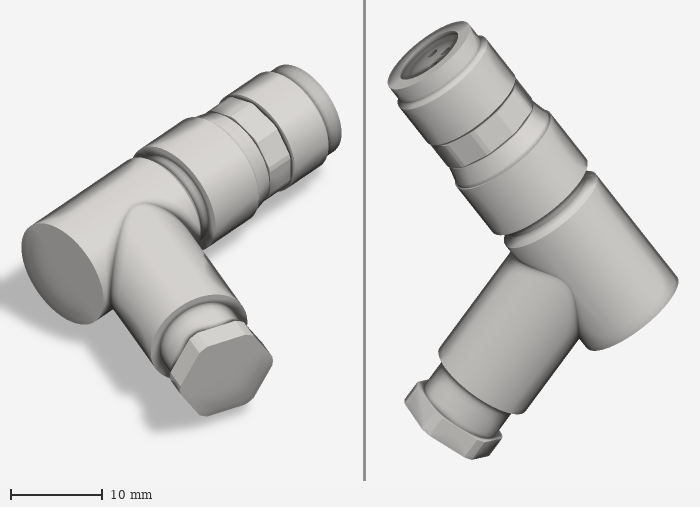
import cadquery as cq
import math

LEAN_ANGLE = 20.0
BRANCH_OFFSET_Y = 8.95

BODY_RADIUS = 6.27
BODY_END = 15.07
NECK_RADIUS = 5.38
NECK_START = 15.95
COLLAR_RADIUS = 6.5
COLLAR_START = 17.15
COLLAR_END = 23.87
TAPER_BASE_RADIUS = 6.27
TAPER_START = 24.25
TAPER_TOP_RADIUS = 5.8
TAPER_END = 26.25
GRIP_START = 26.45
GRIP_END = 29.58
GAP_RADIUS = 3.83
NUT_RADIUS = 6.03
NUT_START = 29.95
NUT_END = 35.15
LIP_RADIUS = 5.55
LIP_START = 35.65
PLUG_LENGTH = 37.7

GRIP_SIDES = 10
GRIP_APOTHEM = 5.7
GRIP_CORNER_RADIUS = 5.9

SOCKET_RADIUS = 3.95
SOCKET_MOUTH_DEPTH = 0.5
SOCKET_SEAT_RADIUS = 3.83
SOCKET_FLOOR_RADIUS = 3.15
SOCKET_DEPTH = 0.65
CONTACT_ANGLES = (90, 180, 270)
CONTACT_CIRCLE_RADIUS = 1.7
CONTACT_RADIUS = 0.65
CONTACT_DEPTH = 0.33

BRANCH_RADIUS = 5.83
BRANCH_END = 15.73
STEM_RADIUS = 4.73
HEX_START = 20.13
HEX_END = 22.65
HEX_SIDES = 6
HEX_APOTHEM = 5.1
HEX_CORNER_RADIUS = 5.6


def cylinder(radius, start, end):
    """Cylinder along Z between two stations."""
    return cq.Workplane("XY").workplane(offset=start).circle(radius).extrude(end - start)


def rounded_prism(sides, apothem, corner_radius, start, end):
    """Regular prism along Z, one corner on +X, with corners trimmed to a cylinder."""
    sharp_diameter = 2 * apothem / math.cos(math.pi / sides)
    prism = cq.Workplane("XY").workplane(offset=start).polygon(sides, sharp_diameter).extrude(end - start)
    return prism.intersect(cylinder(corner_radius, start, end))


def make_plug():
    """Turned plug body along Z, with its faceted grip ring."""
    profile = [
        (0, 0),
        (BODY_RADIUS, 0),
        (BODY_RADIUS, BODY_END),
        (NECK_RADIUS, NECK_START),
        (NECK_RADIUS, COLLAR_START),
        (COLLAR_RADIUS, COLLAR_START),
        (COLLAR_RADIUS, COLLAR_END),
        (TAPER_BASE_RADIUS, COLLAR_END),
        (TAPER_BASE_RADIUS, TAPER_START),
        (TAPER_TOP_RADIUS, TAPER_END),
        (NECK_RADIUS, TAPER_END),
        (NECK_RADIUS, GRIP_START),
        (GAP_RADIUS, GRIP_START),
        (GAP_RADIUS, NUT_START),
        (NUT_RADIUS, NUT_START),
        (NUT_RADIUS, NUT_END),
        (LIP_RADIUS, LIP_START),
        (LIP_RADIUS, PLUG_LENGTH),
        (0, PLUG_LENGTH),
    ]
    turned = cq.Workplane("XZ").polyline(profile).close().revolve(360, (0, 0, 0), (0, 1, 0))
    grip = rounded_prism(GRIP_SIDES, GRIP_APOTHEM, GRIP_CORNER_RADIUS, GRIP_START, GRIP_END)
    grip = grip.rotate((0, 0, 0), (0, 0, 1), 90)
    return turned.union(grip)


def cut_socket(plug):
    """Socket with a straight mouth, a conical seat and blind contact holes in its floor."""
    floor = PLUG_LENGTH - SOCKET_DEPTH
    mouth_base = PLUG_LENGTH - SOCKET_MOUTH_DEPTH
    profile = [
        (0, floor),
        (SOCKET_FLOOR_RADIUS, floor),
        (SOCKET_SEAT_RADIUS, mouth_base),
        (SOCKET_RADIUS, mouth_base),
        (SOCKET_RADIUS, PLUG_LENGTH),
        (0, PLUG_LENGTH),
    ]
    plug = plug.cut(cq.Workplane("XZ").polyline(profile).close().revolve(360, (0, 0, 0), (0, 1, 0)))
    contact = cylinder(CONTACT_RADIUS, floor - CONTACT_DEPTH, floor).translate((CONTACT_CIRCLE_RADIUS, 0, 0))
    for angle in CONTACT_ANGLES:
        plug = plug.cut(contact.rotate((0, 0, 0), (0, 0, 1), angle))
    return plug


def make_branch():
    """Cable branch along +X, from the plug axis out to the clamping hexagon."""
    start = -BRANCH_OFFSET_Y * math.tan(math.radians(LEAN_ANGLE))
    branch = cylinder(BRANCH_RADIUS, start, BRANCH_END)
    branch = branch.union(cylinder(STEM_RADIUS, BRANCH_END, HEX_START))
    hexagon = rounded_prism(HEX_SIDES, HEX_APOTHEM, HEX_CORNER_RADIUS, HEX_START, HEX_END)
    branch = branch.union(hexagon.rotate((0, 0, 0), (0, 0, 1), 90))
    return branch.rotate((0, 0, 0), (0, 1, 0), 90).translate((0, BRANCH_OFFSET_Y, 0))


plug = cut_socket(make_plug()).rotate((0, 0, 0), (1, 0, 0), -90)
plug = plug.rotate((0, 0, 0), (0, 0, 1), LEAN_ANGLE)

result = plug.union(make_branch())